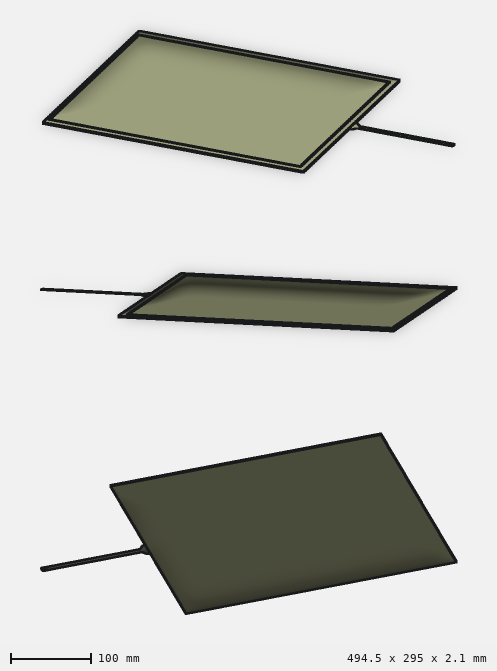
import cadquery as cq

total_length = 494.5
panel_length = 355.0
panel_width = 295.0
panel_thickness = 2.1

groove_width = 1.5
groove_depth = 0.25
left_margin = 3.5
right_margin = 8.5
side_margin = 10.5

tail_thickness = 0.3
tail_drop = 0.5
tail_top = panel_thickness - tail_drop
root_half_width = 10.0
root_length = 4.0
taper_length = 5.5
strip_half_width = 3.5
tip_chamfer = 1.0

contact_count = 4
contact_pitch = 1.5
contact_width = 0.75
contact_length = 5.0
contact_depth = 0.15
contact_end_gap = 1.0


def make_panel():
    return cq.Workplane("XY").box(
        panel_length, panel_width, panel_thickness, centered=(False, True, False)
    )


def make_groove():
    """Rectangular ring cut into the top face of the panel."""
    outer_length = panel_length - left_margin - right_margin
    outer_width = panel_width - 2 * side_margin
    center_x = left_margin + outer_length / 2
    return (
        cq.Workplane("XY", origin=(center_x, 0, panel_thickness - groove_depth))
        .rect(outer_length, outer_width)
        .rect(outer_length - 2 * groove_width, outer_width - 2 * groove_width)
        .extrude(groove_depth)
    )


def make_tail():
    """Wide root, tapered neck and narrow strip, set just below the panel top."""
    root_end = panel_length + root_length
    strip_start = root_end + taper_length
    upper_edge = [
        (panel_length, root_half_width),
        (root_end, root_half_width),
        (strip_start, strip_half_width),
        (total_length - tip_chamfer, strip_half_width),
        (total_length, strip_half_width - tip_chamfer),
    ]
    lower_edge = [(x, -y) for x, y in reversed(upper_edge)]
    return (
        cq.Workplane("XY", origin=(0, 0, tail_top - tail_thickness))
        .polyline(upper_edge + lower_edge)
        .close()
        .extrude(tail_thickness)
    )


def make_contacts():
    """Row of shallow finger recesses across the tail tip."""
    center_x = total_length - contact_end_gap - contact_length / 2
    return (
        cq.Workplane("XY", origin=(center_x, 0, tail_top - contact_depth))
        .rarray(5, contact_pitch, 1, contact_count)
        .rect(contact_length, contact_width)
        .extrude(contact_depth)
    )


result = make_panel().cut(make_groove()).union(make_tail()).cut(make_contacts())